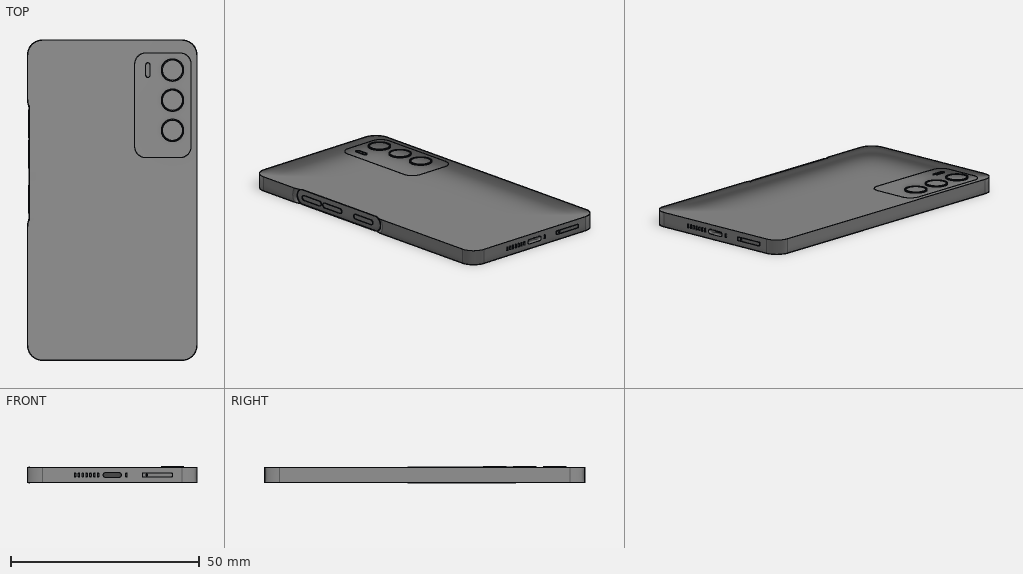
import cadquery as cq
import math

BODY_WIDTH = 45.0
BODY_LENGTH = 85.0
BODY_THICKNESS = 4.0
CORNER_RADIUS = 4.0
MID_Z = BODY_THICKNESS / 2
LEFT_X = -BODY_WIDTH / 2
FRONT_Y = -BODY_LENGTH / 2

PLATE_OVERHANG = 0.1
PLATE_HEIGHT = BODY_THICKNESS + 2 * PLATE_OVERHANG
PLATE_LENGTH = 32.2
PLATE_THICKNESS = 0.2
PLATE_Y = 9.9
PLATE_DEPTH = 0.4
FLARE_RADIUS = 2.0

BUTTON_LENGTH = 7.3
BUTTON_WIDTH = 1.4
BUTTON_HEIGHT = 0.2
BUTTON_YS = (20.2, 12.2, 0.25)

CAMERA_WIDTH = 15.0
CAMERA_LENGTH = 27.8
CAMERA_THICKNESS = 0.4
CAMERA_CORNER_RADIUS = 3.0
CAMERA_X = 13.4
CAMERA_Y = 25.2

LENS_RADIUS = 3.0
LENS_HEIGHT = 0.25
LENS_RIM = 0.3
LENS_GLASS_DEPTH = 0.1
LENS_X = 16.0
LENS_PITCH = 8.0
LENS_COUNT = 3
FIRST_LENS_Y = 34.5

FLASH_LENGTH = 3.9
FLASH_WIDTH = 1.1
FLASH_DEPTH = 0.2
FLASH_X = 9.4

USB_WIDTH = 4.85
USB_HEIGHT = 1.3
USB_DEPTH = 2.55
SOUND_HOLE_WIDTH = 0.4
SOUND_HOLE_HEIGHT = 1.0
SOUND_HOLE_DEPTH = 0.85
SOUND_HOLE_PITCH = 1.0
SOUND_HOLE_OFFSET = 3.7
SPEAKER_HOLE_COUNT = 7
TRAY_WIDTH = 7.9
TRAY_HEIGHT = 1.0
TRAY_DEPTH = 0.2
TRAY_CORNER_RADIUS = 0.2
TRAY_X = 12.0
EJECT_HOLE_RADIUS = 0.21
EJECT_HOLE_DEPTH = 0.85
EJECT_HOLE_X = 9.2


def left_side_plane(depth, y):
    """Plane facing +X, at a depth below the left side; local x is Y, local y is Z."""
    return cq.Workplane("YZ", origin=(LEFT_X + depth, y, MID_Z))


def front_end_plane(x):
    """Plane on the front end facing -Y; negative extrusions go into the body."""
    return cq.Workplane("XZ", origin=(x, FRONT_Y, MID_Z))


def plate_blank():
    """Stadium of the side plate; also the pocket that it lies in."""
    return left_side_plane(PLATE_DEPTH, PLATE_Y).slot2D(PLATE_LENGTH, PLATE_HEIGHT).extrude(PLATE_THICKNESS)


def flare_cutter():
    """Recess outside the plate: straight in the middle, with a rounded mouth at both ends."""
    plate_radius = PLATE_HEIGHT / 2
    half_straight = PLATE_LENGTH / 2 - plate_radius
    flare_angle = math.acos(1 - PLATE_DEPTH / FLARE_RADIUS)
    mouth_radius = plate_radius + FLARE_RADIUS * math.sin(flare_angle)
    arc_middle = (
        FLARE_RADIUS * (1 - math.cos(flare_angle / 2)),
        mouth_radius - FLARE_RADIUS * math.sin(flare_angle / 2),
    )
    cutter = left_side_plane(0, PLATE_Y).rect(2 * half_straight, 2 * mouth_radius).extrude(PLATE_DEPTH)
    for end_y in (PLATE_Y - half_straight, PLATE_Y + half_straight):
        flare = (
            cq.Workplane("XY", origin=(LEFT_X, end_y, MID_Z))
            .lineTo(0, mouth_radius)
            .threePointArc(arc_middle, (PLATE_DEPTH, plate_radius))
            .lineTo(PLATE_DEPTH, 0)
            .close()
            .revolve(360, (0, 0, 0), (1, 0, 0))
        )
        cutter = cutter.union(flare)
    return cutter


def camera_blank():
    """Rounded camera plate without its flash window; also the pocket that it lies in."""
    return (
        cq.Workplane("XY", origin=(CAMERA_X, CAMERA_Y, BODY_THICKNESS - CAMERA_THICKNESS))
        .rect(CAMERA_WIDTH, CAMERA_LENGTH)
        .extrude(CAMERA_THICKNESS)
        .edges("|Z")
        .fillet(CAMERA_CORNER_RADIUS)
    )


def sound_hole_xs():
    """Seven speaker holes left of the USB port and one microphone hole right of it."""
    speaker_xs = [-SOUND_HOLE_OFFSET - i * SOUND_HOLE_PITCH for i in range(SPEAKER_HOLE_COUNT)]
    return speaker_xs + [SOUND_HOLE_OFFSET]


def cut_front_end(body):
    """USB port, sound holes, and the SIM tray recess with its eject hole."""
    body = body.cut(front_end_plane(0).slot2D(USB_WIDTH, USB_HEIGHT).extrude(-USB_DEPTH))
    for x in sound_hole_xs():
        sound_hole = front_end_plane(x).slot2D(SOUND_HOLE_HEIGHT, SOUND_HOLE_WIDTH, 90)
        body = body.cut(sound_hole.extrude(-SOUND_HOLE_DEPTH))
    tray = front_end_plane(TRAY_X).rect(TRAY_WIDTH, TRAY_HEIGHT).extrude(-TRAY_DEPTH)
    body = body.cut(tray.edges("|Y").fillet(TRAY_CORNER_RADIUS))
    return body.cut(front_end_plane(EJECT_HOLE_X).circle(EJECT_HOLE_RADIUS).extrude(-EJECT_HOLE_DEPTH))


def make_body():
    body = (
        cq.Workplane("XY")
        .rect(BODY_WIDTH, BODY_LENGTH)
        .extrude(BODY_THICKNESS)
        .edges("|Z")
        .fillet(CORNER_RADIUS)
    )
    body = body.cut(flare_cutter()).cut(plate_blank()).cut(camera_blank())
    return cut_front_end(body)


def make_camera_plate():
    flash_window = (
        cq.Workplane("XY", origin=(FLASH_X, FIRST_LENS_Y, BODY_THICKNESS))
        .slot2D(FLASH_LENGTH, FLASH_WIDTH, 90)
        .extrude(-FLASH_DEPTH)
    )
    return camera_blank().cut(flash_window)


def make_lens(y):
    """Disc with a narrow raised rim around the sunken glass."""
    disc = cq.Workplane("XY", origin=(LENS_X, y, BODY_THICKNESS)).circle(LENS_RADIUS).extrude(LENS_HEIGHT)
    return disc.faces(">Z").workplane().circle(LENS_RADIUS - LENS_RIM).cutBlind(-LENS_GLASS_DEPTH)


def make_button(y):
    return left_side_plane(PLATE_DEPTH, y).slot2D(BUTTON_LENGTH, BUTTON_WIDTH).extrude(-BUTTON_HEIGHT)


phone_body = make_body()
side_plate = plate_blank()
camera_plate = make_camera_plate()
lenses = [make_lens(FIRST_LENS_Y - i * LENS_PITCH) for i in range(LENS_COUNT)]
buttons = [make_button(y) for y in BUTTON_YS]

result = cq.Compound.makeCompound([
    phone_body.val(),
    side_plate.val(),
    camera_plate.val(),
    *[lens.val() for lens in lenses],
    *[button.val() for button in buttons],
])